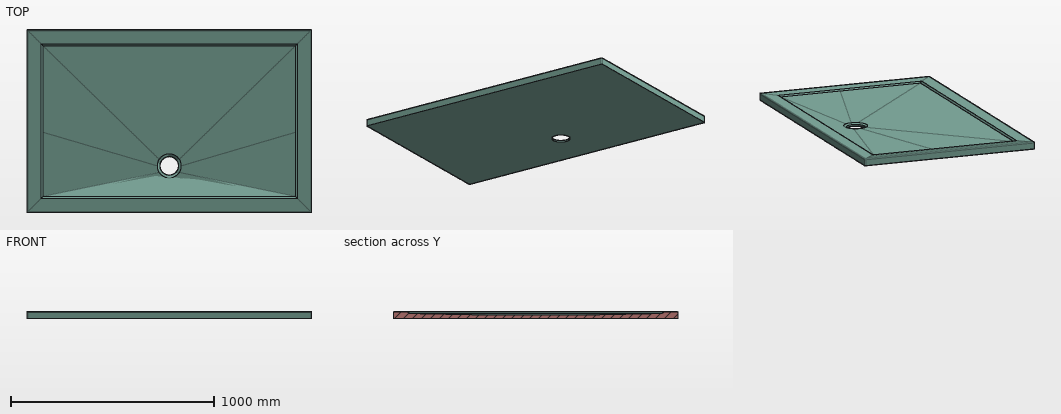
import math

import cadquery as cq

LENGTH = 1400
WIDTH = 900
HEIGHT = 35
CORNER_RADIUS = 5
TOP_EDGE_RADIUS = 4

LIP_INSET = 6
RIM_INSET = 70
STEP_INSET = 80
RIM_DROP = 2
STEP_DROP = 6.5

DRAIN_FROM_FRONT = 230
DRAIN_Y = DRAIN_FROM_FRONT - WIDTH / 2
DRAIN_DIAMETER = 90
DRAIN_MOUTH_DIAMETER = 118
DRAIN_SEAT_DROP = 6

FLOOR_DROP = 11
SIDE_JOINT_Y = -55
CORNER_JOINT_ANGLE = 33

RIM_INNER_Z = HEIGHT - RIM_DROP
FLOOR_EDGE_Z = RIM_INNER_Z - STEP_DROP
FLOOR_LOW_Z = FLOOR_EDGE_Z - FLOOR_DROP


def inset_corners(inset, z):
    """Corners of the tray rectangle moved inward by `inset`, counter-clockwise at height z."""
    half_x = LENGTH / 2 - inset
    half_y = WIDTH / 2 - inset
    corner_signs = [(-1, -1), (1, -1), (1, 1), (-1, 1)]
    return [cq.Vector(sx * half_x, sy * half_y, z) for sx, sy in corner_signs]


def flat_face(points):
    return cq.Face.makeFromWires(cq.Wire.makePolygon(points, close=True))


def tray_block():
    block = cq.Workplane("XY").box(LENGTH, WIDTH, HEIGHT, centered=(True, True, False))
    block = block.edges("|Z").fillet(CORNER_RADIUS)
    return block.faces(">Z").edges().fillet(TOP_EDGE_RADIUS)


def mouth_point(angle):
    """Point on the rim of the drain mouth, at `angle` degrees from +X."""
    radius = DRAIN_MOUTH_DIAMETER / 2
    turn = math.radians(angle)
    return cq.Vector(radius * math.cos(turn), DRAIN_Y + radius * math.sin(turn), FLOOR_LOW_Z)


def floor_faces():
    """Ruled faces between the foot of the step and the drain mouth, and the disc in the mouth."""
    front_left, front_right, rear_right, rear_left = inset_corners(STEP_INSET, FLOOR_EDGE_Z)
    right_joint = cq.Vector(front_right.x, SIDE_JOINT_Y, FLOOR_EDGE_Z)
    left_joint = cq.Vector(front_left.x, SIDE_JOINT_Y, FLOOR_EDGE_Z)
    joints = [
        (right_joint, 0),
        (rear_right, CORNER_JOINT_ANGLE),
        (rear_left, 180 - CORNER_JOINT_ANGLE),
        (left_joint, 180),
        (front_left, 180 + CORNER_JOINT_ANGLE),
        (front_right, 360 - CORNER_JOINT_ANGLE),
        (right_joint, 360),
    ]
    faces = []
    arcs = []
    for (start, start_angle), (end, end_angle) in zip(joints, joints[1:]):
        middle = mouth_point((start_angle + end_angle) / 2)
        arc = cq.Edge.makeThreePointArc(mouth_point(start_angle), middle, mouth_point(end_angle))
        faces.append(cq.Face.makeRuledSurface(cq.Edge.makeLine(start, end), arc))
        arcs.append(arc)
    faces.append(cq.Face.makeFromWires(cq.Wire.assembleEdges(arcs)))
    return faces


def basin():
    """Space above the sloping rim, the step and the floor."""
    rings = [
        inset_corners(LIP_INSET, HEIGHT),
        inset_corners(RIM_INSET, RIM_INNER_Z),
        inset_corners(STEP_INSET, FLOOR_EDGE_Z),
    ]
    faces = [flat_face(rings[0])] + floor_faces()
    for outer, inner in zip(rings, rings[1:]):
        for side in range(4):
            following = (side + 1) % 4
            faces.append(flat_face([outer[side], outer[following], inner[following], inner[side]]))
    return cq.Workplane(cq.Solid.makeSolid(cq.Shell.makeShell(faces)).fix())


def drain():
    """Through hole with a mouth that tapers from the floor down to the hole."""
    seat_z = FLOOR_LOW_Z - DRAIN_SEAT_DROP
    hole_radius = DRAIN_DIAMETER / 2
    mouth_radius = DRAIN_MOUTH_DIAMETER / 2
    profile = [
        (0, 0),
        (hole_radius, 0),
        (hole_radius, seat_z),
        (mouth_radius, FLOOR_LOW_Z),
        (mouth_radius, HEIGHT),
        (0, HEIGHT),
    ]
    cutter = cq.Workplane("XZ").polyline(profile).close().revolve(360, (0, 0), (0, 1))
    return cutter.translate((0, DRAIN_Y, 0))


result = tray_block().cut(basin()).cut(drain())